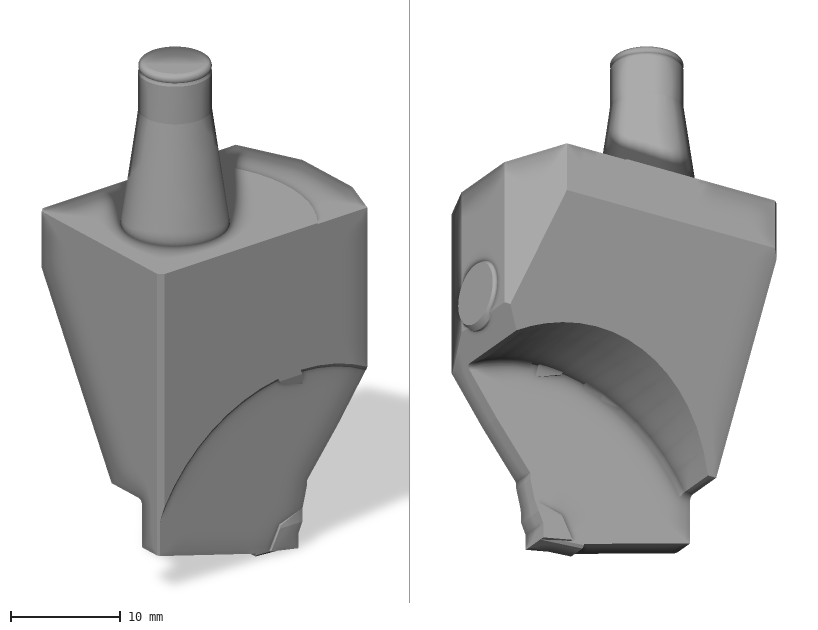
import cadquery as cq
import math


LEFT_X = -10.0
RIGHT_X = 8.0
BACK_Y = -8.0
FLAT_Y = 17.65
CORNER_CHAMFER = 0.5
FLAT_HALF_WIDTH = 3.7
LEFT_BEVEL_DROP = 2.75
RIGHT_BEVEL_DROP = 1.65
LEFT_WALL_Z = -4.85
SHOULDER_Z = -23.55
SLOPE_ANGLE = 30.0
BLADE_BACK_Z = -28.35
BLADE_BOTTOM_ANGLE = 15.0
UNDERSIDE_TOP_Z = -14.35
UNDERSIDE_BEND = (12.85, -21.1)
UNDERSIDE_END_Z = -25.75
CUT_MARGIN = 2.42

SEAT_RADIUS = 13.0
SEAT_STEP = 0.1

PIN_HEIGHT = 16.4
PIN_RADIUS = 6.75 / 2
PIN_BASE_RADIUS = 5.0
PIN_ROOT_DEPTH = 2.42
CONE_HEIGHT = 11.55
PIN_EDGE_Z = 15.35
GROOVE_Z = 15.6
GROOVE_RADIUS = 3.25
BEAD_MID = (3.35, 16.0)
BEAD_TOP = (3.1, 16.35)
PIN_END_RADIUS = 2.85

BOSS_X = 0.75
BOSS_Z = -11.75
BOSS_RADIUS = 6.75 / 2
BOSS_FACE_Y = 18.0
BOSS_ROOT_Y = 15.5
BOSS_TIP_RADIUS = 2.95
BOSS_CHAMFER = 0.6

CLEAR_Y = 8.0
CLEAR_Z = -31.8
CLEAR_RADIUS = 17.2
CLEAR_FILLET = 0.5
RELIEF_RIM_RADIUS = 17.6
BLADE_LEFT_X = 5.3
BLADE_RIGHT_X = 7.7

INSERT_BACK_Y = 3.45
INSERT_FRONT_Y = 9.2
INSERT_MID_Z = -22.1
INSERT_TIP_DEPTH = 10.0
INSERT_BACK_DEPTH = 9.7
NECK_DEPTH = 4.2
SHANK_CHAMFER = 0.25
TIP_Y = 8.0
HEAD_LEFT_X = 5.0
HEAD_RIGHT_X = RIGHT_X
HEAD_START = (8.75, 6.25)
HEAD_FULL = (8.5, 7.4)
TIP_HEEL_DEPTH = 8.55
HEAD_REAR_TOP = (6.0, 7.15)
HEAD_REAR_BOTTOM = (4.85, 9.4)


def side_prism(points, x_start, x_end):
    """Prism along X with the given (Y, Z) outline."""
    outline = cq.Workplane("YZ", origin=(x_start, 0, 0)).polyline(points).close()
    return outline.extrude(x_end - x_start)


def plan_block():
    """Block with the plan outline: two bevels on the +Y side and chamfered -Y corners."""
    points = [
        (LEFT_X + CORNER_CHAMFER, BACK_Y),
        (RIGHT_X - CORNER_CHAMFER, BACK_Y),
        (RIGHT_X, BACK_Y + CORNER_CHAMFER),
        (RIGHT_X, FLAT_Y - RIGHT_BEVEL_DROP),
        (FLAT_HALF_WIDTH, FLAT_Y),
        (-FLAT_HALF_WIDTH, FLAT_Y),
        (LEFT_X, FLAT_Y - LEFT_BEVEL_DROP),
        (LEFT_X, BACK_Y + CORNER_CHAMFER),
    ]
    return cq.Workplane("XY").polyline(points).close().extrude(CLEAR_Z)


def slope_envelope():
    """Sloped left side running down to the shoulder, then open down to the blade."""
    slope_end_x = LEFT_X + (LEFT_WALL_Z - SHOULDER_Z) * math.tan(math.radians(SLOPE_ANGLE))
    points = [
        (LEFT_X, 0),
        (RIGHT_X, 0),
        (RIGHT_X, CLEAR_Z),
        (slope_end_x, CLEAR_Z),
        (slope_end_x, SHOULDER_Z),
        (LEFT_X, LEFT_WALL_Z),
    ]
    depth = FLAT_Y - BACK_Y
    return cq.Workplane("XZ", origin=(0, FLAT_Y, 0)).polyline(points).close().extrude(depth)


def side_envelope():
    """Side outline: blade bottom sloping down to the insert, bent underside on the +Y side."""
    blade_drop = (INSERT_BACK_Y - BACK_Y) * math.tan(math.radians(BLADE_BOTTOM_ANGLE))
    points = [
        (BACK_Y, 0),
        (BACK_Y, BLADE_BACK_Z),
        (INSERT_BACK_Y, BLADE_BACK_Z - blade_drop),
        (INSERT_FRONT_Y, UNDERSIDE_END_Z),
        UNDERSIDE_BEND,
        (FLAT_Y, UNDERSIDE_TOP_Z),
        (FLAT_Y, 0),
    ]
    return side_prism(points, LEFT_X, RIGHT_X)


def insert_strip():
    """Upright strip beside the insert, where the clearance keeps a sharp corner."""
    points = [
        (INSERT_BACK_Y, 0),
        (INSERT_FRONT_Y, 0),
        (INSERT_FRONT_Y, CLEAR_Z),
        (INSERT_BACK_Y, CLEAR_Z),
    ]
    return side_prism(points, LEFT_X, BLADE_LEFT_X)


def left_clearance():
    """Round cut, and flat cut under the shoulder, down to the left face of the blade.

    Its floor is filleted except beside the insert.
    """
    shoulder_half_chord = math.sqrt(CLEAR_RADIUS**2 - (SHOULDER_Z - CLEAR_Z) ** 2)
    far_y = CLEAR_Y + CLEAR_RADIUS
    near_y = BACK_Y - CUT_MARGIN
    floor_z = CLEAR_Z - CUT_MARGIN
    cutter = (
        cq.Workplane("YZ", origin=(LEFT_X - CUT_MARGIN, 0, 0))
        .moveTo(near_y, SHOULDER_Z)
        .lineTo(CLEAR_Y - shoulder_half_chord, SHOULDER_Z)
        .threePointArc((CLEAR_Y, CLEAR_Z + CLEAR_RADIUS), (far_y, CLEAR_Z))
        .lineTo(far_y, floor_z)
        .lineTo(near_y, floor_z)
        .close()
        .extrude(BLADE_LEFT_X - LEFT_X + CUT_MARGIN)
    )
    rounded = cutter.faces(">X").edges().fillet(CLEAR_FILLET)
    sharp = cutter.intersect(insert_strip())
    return rounded.union(sharp)


def right_relief():
    """Shallow round relief with a conical rim on the right face of the blade."""
    depth = RIGHT_X - BLADE_RIGHT_X
    center = cq.Vector(BLADE_RIGHT_X, CLEAR_Y, CLEAR_Z)
    cone = cq.Solid.makeCone(CLEAR_RADIUS, RELIEF_RIM_RADIUS, depth, center, cq.Vector(1, 0, 0))
    return cq.Workplane(cone)


def seat_step():
    """Thin layer removed from the top face outside the round seat."""
    size = 4 * SEAT_RADIUS
    layer = cq.Workplane("XY").rect(size, size).circle(SEAT_RADIUS).extrude(-SEAT_STEP)
    return layer.intersect(cq.Workplane("XY").box(size, size, size).translate((0, size / 2, 0)))


def pin():
    """Tapered pin with a straight end, a fine groove and a rounded bead at the tip."""
    profile = (
        cq.Workplane("XZ")
        .moveTo(0, -PIN_ROOT_DEPTH)
        .lineTo(PIN_BASE_RADIUS, -PIN_ROOT_DEPTH)
        .lineTo(PIN_BASE_RADIUS, 0)
        .lineTo(PIN_RADIUS, CONE_HEIGHT)
        .lineTo(PIN_RADIUS, PIN_EDGE_Z)
        .lineTo(GROOVE_RADIUS, GROOVE_Z)
        .threePointArc(BEAD_MID, BEAD_TOP)
        .lineTo(PIN_END_RADIUS, PIN_HEIGHT)
        .lineTo(0, PIN_HEIGHT)
        .close()
    )
    return profile.revolve(360, (0, 0, 0), (0, 1, 0))


def boss():
    """Round boss with a conical rim, standing out of the +Y flat."""
    rim_y = BOSS_FACE_Y - BOSS_CHAMFER
    profile = (
        cq.Workplane("XY", origin=(BOSS_X, 0, BOSS_Z))
        .moveTo(0, BOSS_ROOT_Y)
        .lineTo(BOSS_RADIUS, BOSS_ROOT_Y)
        .lineTo(BOSS_RADIUS, rim_y)
        .lineTo(BOSS_TIP_RADIUS, BOSS_FACE_Y)
        .lineTo(0, BOSS_FACE_Y)
        .close()
    )
    return profile.revolve(360, (0, 0, 0), (0, 1, 0))


def below_middle(points):
    """Turn (Y, depth below the middle of the insert) into (Y, Z)."""
    return [(y, INSERT_MID_Z - depth) for y, depth in points]


def insert_half():
    """Lower half of the insert: flat shank and a wider cutting head."""
    shank_points = [
        (INSERT_BACK_Y, 0),
        (INSERT_FRONT_Y, 0),
        (INSERT_FRONT_Y, NECK_DEPTH),
        HEAD_START,
        HEAD_FULL,
        (TIP_Y, TIP_HEEL_DEPTH),
        (TIP_Y, INSERT_TIP_DEPTH),
        (INSERT_BACK_Y, INSERT_BACK_DEPTH),
    ]
    shank = side_prism(below_middle(shank_points), BLADE_LEFT_X, BLADE_RIGHT_X)
    shank = shank.faces("<Z").edges("<X or >X").chamfer(SHANK_CHAMFER)

    head_points = [
        HEAD_START,
        HEAD_FULL,
        (TIP_Y, TIP_HEEL_DEPTH),
        (TIP_Y, INSERT_TIP_DEPTH),
        HEAD_REAR_BOTTOM,
        HEAD_REAR_TOP,
    ]
    head = side_prism(below_middle(head_points), HEAD_LEFT_X, HEAD_RIGHT_X)
    flare_points = [
        (BLADE_LEFT_X, INSERT_MID_Z - HEAD_START[1]),
        (BLADE_RIGHT_X, INSERT_MID_Z - HEAD_START[1]),
        (HEAD_RIGHT_X, INSERT_MID_Z - HEAD_FULL[1]),
        (HEAD_RIGHT_X, INSERT_MID_Z - INSERT_TIP_DEPTH),
        (HEAD_LEFT_X, INSERT_MID_Z - INSERT_TIP_DEPTH),
        (HEAD_LEFT_X, INSERT_MID_Z - HEAD_FULL[1]),
    ]
    flare = cq.Workplane("XZ").polyline(flare_points).close().extrude(-INSERT_FRONT_Y)
    return shank.union(head.intersect(flare))


def make_insert():
    """Double-ended insert: the half and its mirror image."""
    half = insert_half()
    return half.union(half.mirror("XY", (0, 0, INSERT_MID_Z)))


def make_housing(insert):
    """Housing with its pin and boss, and a pocket that fits the insert."""
    body = plan_block().intersect(slope_envelope()).intersect(side_envelope())
    body = body.cut(seat_step())
    body = body.union(pin()).union(boss())
    body = body.cut(left_clearance()).cut(right_relief())
    return body.cut(insert)


insert = make_insert()
housing = make_housing(insert)
result = cq.Compound.makeCompound([housing.solids().val(), insert.solids().val()])